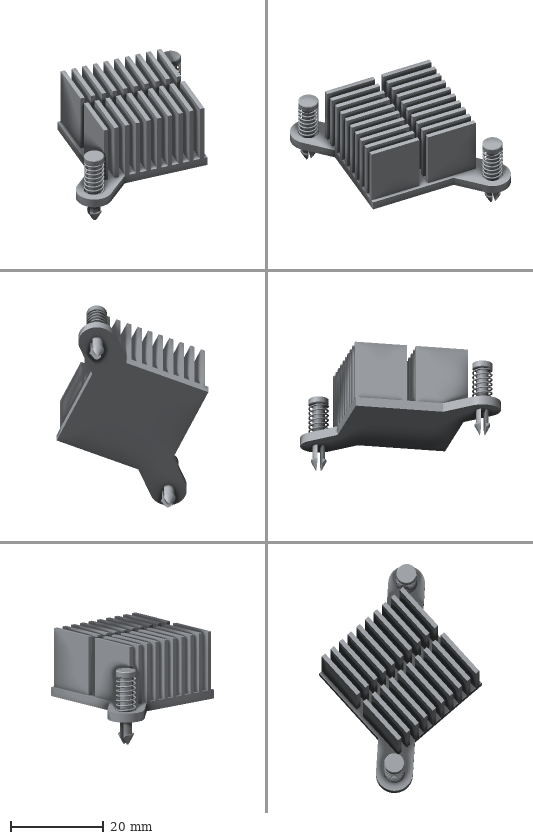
import cadquery as cq
import math

plate_side = 25.0
plate_thickness = 2.0
ear_radius = 4.0
seat_radius = 2.25
seat_depth = plate_thickness / 2
seat_floor = plate_thickness - seat_depth
pin_offset = 15.0
pin_centers = [(-pin_offset, pin_offset), (pin_offset, -pin_offset)]

fin_count = 10
fin_pitch = 2.5
fin_thickness = 1.0
fin_height = 13.0
channel_width = 2.0
fin_length = (plate_side - channel_width) / 2

shank_radius = 1.35
head_radius = 2.2
head_height = 1.4
head_chamfer = 0.15
head_top = 10.8
head_bottom = head_top - head_height
slot_width = 1.1
barb_radius = 1.7
barb_width = 2.5
barb_top = -3.2
barb_rim_height = 0.3
tip_z = -5.68
tip_radius = slot_width / 2

wire_diameter = 0.35
spring_outer_radius = 2.22
coil_radius = spring_outer_radius - wire_diameter / 2
spring_length = head_bottom - seat_floor
coil_turns = 8
coil_pitch = spring_length / coil_turns
coil_overrun = 0.2
coil_start_angle = -8.0


def make_heat_sink():
    """Plate with ears, pin holes, spring seats and two columns of fins."""
    sink = cq.Workplane().rect(plate_side, plate_side).extrude(plate_thickness)
    ear_span = 2 * math.hypot(pin_offset, pin_offset)
    ears = (
        cq.Workplane()
        .transformed(rotate=(0, 0, -45))
        .slot2D(ear_span + 2 * ear_radius, 2 * ear_radius)
        .extrude(plate_thickness)
    )
    sink = sink.union(ears)
    fin_x = (channel_width + fin_length) / 2
    for row in range(fin_count):
        fin_y = (row - (fin_count - 1) / 2) * fin_pitch
        fins = (
            cq.Workplane(origin=(0, 0, plate_thickness))
            .pushPoints([(-fin_x, fin_y), (fin_x, fin_y)])
            .rect(fin_length, fin_thickness)
            .extrude(fin_height)
        )
        sink = sink.union(fins)
    holes = cq.Workplane().pushPoints(pin_centers).circle(shank_radius).extrude(plate_thickness)
    seats = (
        cq.Workplane(origin=(0, 0, seat_floor))
        .pushPoints(pin_centers)
        .circle(seat_radius)
        .extrude(seat_depth)
    )
    return sink.cut(holes).cut(seats)


def make_barb():
    """Conical tip with a short rim, flattened front and back."""
    cone = (
        cq.Workplane("XZ")
        .moveTo(0, barb_top)
        .lineTo(barb_radius, barb_top)
        .lineTo(barb_radius, barb_top - barb_rim_height)
        .lineTo(tip_radius, tip_z)
        .lineTo(0, tip_z)
        .close()
        .revolve(360, (0, 0, 0), (0, 1, 0))
    )
    flats = (
        cq.Workplane(origin=(0, 0, tip_z))
        .rect(2 * barb_radius, barb_width)
        .extrude(barb_top - tip_z)
    )
    return cone.intersect(flats)


def make_pin():
    """Push pin on the Z axis, split into two legs below the plate."""
    head = (
        cq.Workplane(origin=(0, 0, head_bottom))
        .circle(head_radius)
        .extrude(head_height)
        .faces("<Z or >Z")
        .edges()
        .chamfer(head_chamfer)
    )
    shank = cq.Workplane(origin=(0, 0, barb_top)).circle(shank_radius).extrude(head_bottom - barb_top)
    slot = cq.Workplane(origin=(0, 0, tip_z)).rect(slot_width, 2 * barb_radius).extrude(-tip_z)
    return head.union(shank).union(make_barb()).cut(slot)


def make_spring():
    """Right-handed coil on the Z axis, trimmed flat at the seat floor and at the pin head."""
    coil_height = spring_length + 2 * coil_overrun
    path = cq.Wire.makeHelix(coil_pitch, coil_height, coil_radius)
    wire_section = cq.Workplane("XZ").center(coil_radius, 0).circle(wire_diameter / 2)
    coil = (
        wire_section.sweep(cq.Workplane(path), isFrenet=True)
        .rotate((0, 0, 0), (0, 0, 1), coil_start_angle)
        .translate((0, 0, seat_floor - coil_overrun))
    )
    trim = (
        cq.Workplane(origin=(0, 0, seat_floor))
        .circle(spring_outer_radius + wire_diameter)
        .extrude(spring_length)
    )
    return coil.intersect(trim)


heat_sink = make_heat_sink()
pin = make_pin()
spring = make_spring()

bodies = [heat_sink.val()]
for x, y in pin_centers:
    bodies.append(pin.translate((x, y, 0)).val())
    bodies.append(spring.translate((x, y, 0)).val())

result = cq.Compound.makeCompound(bodies)